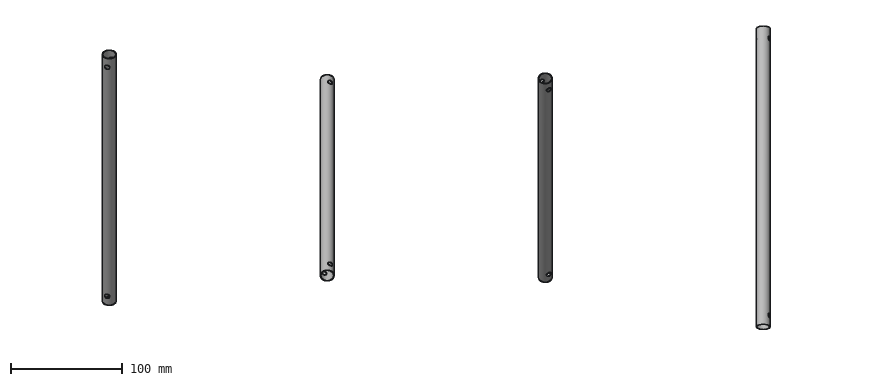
import cadquery as cq

outer_diameter = 12.7
wall_thickness = 0.89
tube_length = 289.18
pin_hole_diameter = 4.7625
pin_hole_inset = 10.3


def make_tube():
    """Hollow round tube along Z, centred on the origin."""
    bore_diameter = outer_diameter - 2 * wall_thickness
    return (
        cq.Workplane("XY")
        .workplane(offset=-tube_length / 2)
        .circle(outer_diameter / 2)
        .circle(bore_diameter / 2)
        .extrude(tube_length)
    )


def make_pin_hole(height):
    """Cutter along Y that passes through both walls at the given height."""
    return (
        cq.Workplane("XZ")
        .center(0, height)
        .circle(pin_hole_diameter / 2)
        .extrude(outer_diameter, both=True)
    )


result = make_tube()
pin_hole_height = tube_length / 2 - pin_hole_inset
for height in (-pin_hole_height, pin_hole_height):
    result = result.cut(make_pin_hole(height))